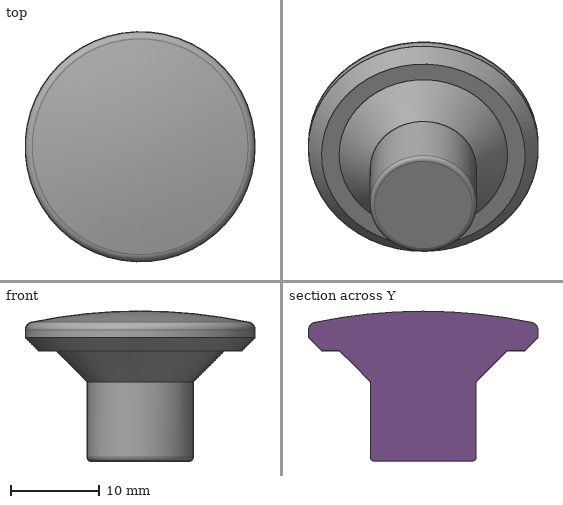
import cadquery as cq
import math

stem_radius = 6.0
stem_height = 9.0
stem_edge_fillet = 0.5

neck_height = 3.5
neck_top_radius = stem_radius + neck_height
neck_top_z = stem_height + neck_height

head_radius = 13.0
head_chamfer = 1.5
rim_band_height = 0.83
rim_bottom_z = neck_top_z + head_chamfer
rim_top_z = rim_bottom_z + rim_band_height
dome_edge_radius = 12.2
dome_rise = 1.25
total_height = 17.0
dome_edge_z = total_height - dome_rise

dome_sphere_radius = (dome_edge_radius**2 + dome_rise**2) / (2 * dome_rise)
dome_centre_z = total_height - dome_sphere_radius
dome_mid_radius = dome_edge_radius / 2
dome_mid_z = dome_centre_z + math.sqrt(dome_sphere_radius**2 - dome_mid_radius**2)

profile = (
    cq.Workplane("XZ")
    .lineTo(stem_radius, 0)
    .lineTo(stem_radius, stem_height)
    .lineTo(neck_top_radius, neck_top_z)
    .lineTo(head_radius - head_chamfer, neck_top_z)
    .lineTo(head_radius, rim_bottom_z)
    .lineTo(head_radius, rim_top_z)
    .tangentArcPoint((dome_edge_radius, dome_edge_z), relative=False)
    .threePointArc((dome_mid_radius, dome_mid_z), (0, total_height))
    .close()
)

knob = profile.revolve(360, (0, 0, 0), (0, 1, 0))
result = knob.faces("<Z").edges().fillet(stem_edge_fillet)